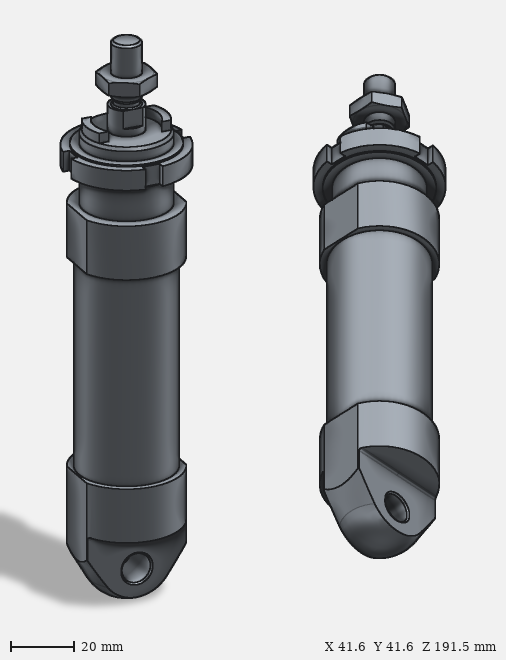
import cadquery as cq
import math


TOTAL_LENGTH = 191.5
ROD_DIAMETER = 12.0
THREAD_DIAMETER = 10.0
THREAD_BOTTOM_Z = 172.2
THREAD_TIP_CHAMFER = 0.8
RELIEF_DIAMETER = 8.6
RELIEF_UPPER_TAPER_HEIGHT = 1.0
RELIEF_LOWER_TAPER_HEIGHT = 0.4
ROD_SHOULDER_Z = 169.5
WRENCH_FLAT_WIDTH = 10.0
WRENCH_FLAT_BOTTOM_Z = 163.3

HEX_NUT_ACROSS_FLATS = 17.0
HEX_NUT_HEIGHT = 5.0
HEX_NUT_BOTTOM_Z = 175.5
HEX_NUT_BEVEL_ANGLE = 15.0

TUBE_DIAMETER = 33.5
CAP_DIAMETER = 38.0
CAP_ACROSS_FLATS = 34.9
CAP_LENGTH = 18.5
LOWER_CAP_BOTTOM_Z = 26.0
UPPER_CAP_BOTTOM_Z = 116.8
UPPER_CAP_TOP_Z = UPPER_CAP_BOTTOM_Z + CAP_LENGTH
BOSS_DIAMETER = 30.0
BOSS_TOP_DIAMETER = 28.3
BOSS_TOP_Z = 160.7
BOSS_CHAMFER_HEIGHT = 1.1

TAB_INNER_DIAMETER = 22.6
TAB_WIDTH = 13.0
TAB_HEIGHT = 3.5

EYE_THICKNESS = 15.7
EYE_TIP_RADIUS = 15.0
EYE_CONE_HALF_ANGLE = 30.0
EYE_FILLET = 1.0
EYE_HOLE_DIAMETER = 10.0
EYE_HOLE_CHAMFER = 0.5
EYE_HOLE_Z = 12.0

RING_NUT_DIAMETER = 42.0
RING_NUT_FACE_DIAMETER = 36.0
RING_NUT_HEIGHT = 8.0
RING_NUT_BOTTOM_Z = 148.0
RING_NUT_STEP_HEIGHT = 0.5
RING_NUT_SLOT_WIDTH = 6.0
RING_NUT_SLOT_FLOOR_RADIUS = 18.5
RING_NUT_SLOT_COUNT = 4


def cylinder(diameter, bottom_z, top_z):
    """Solid cylinder on the Z axis between two heights."""
    return cq.Workplane("XY").workplane(offset=bottom_z).circle(diameter / 2).extrude(top_z - bottom_z)


def slab(size_x, size_y, bottom_z, top_z):
    """Box centred on the Z axis between two heights."""
    return cq.Workplane("XY").workplane(offset=bottom_z).rect(size_x, size_y).extrude(top_z - bottom_z)


def revolved(outline):
    """Turn a closed outline of the XZ plane about the Z axis."""
    return outline.close().revolve(360, (0, 0, 0), (0, 1, 0))


def make_cap(bottom_z):
    """Round end cap with two flats facing -Y and +Y."""
    top_z = bottom_z + CAP_LENGTH
    return cylinder(CAP_DIAMETER, bottom_z, top_z).intersect(
        slab(CAP_DIAMETER, CAP_ACROSS_FLATS, bottom_z, top_z)
    )


def make_boss():
    """Boss with a chamfered top edge, above the upper cap."""
    return revolved(
        cq.Workplane("XZ")
        .moveTo(0, UPPER_CAP_TOP_Z)
        .lineTo(BOSS_DIAMETER / 2, UPPER_CAP_TOP_Z)
        .lineTo(BOSS_DIAMETER / 2, BOSS_TOP_Z - BOSS_CHAMFER_HEIGHT)
        .lineTo(BOSS_TOP_DIAMETER / 2, BOSS_TOP_Z)
        .lineTo(0, BOSS_TOP_Z)
    )


def make_tabs():
    """Two opposite arc-shaped tabs at -Y and +Y."""
    top_z = BOSS_TOP_Z + TAB_HEIGHT
    ring = cylinder(BOSS_TOP_DIAMETER, BOSS_TOP_Z, top_z).cut(
        cylinder(TAB_INNER_DIAMETER, BOSS_TOP_Z, top_z)
    )
    return ring.intersect(slab(TAB_WIDTH, BOSS_DIAMETER, BOSS_TOP_Z, top_z))


def make_eye():
    """Flat eye whose end is rounded by a sphere that runs into a cone."""
    angle = math.radians(EYE_CONE_HALF_ANGLE)
    tangent_radius = EYE_TIP_RADIUS * math.cos(angle)
    tangent_z = EYE_TIP_RADIUS * (1 - math.sin(angle))
    middle_angle = (math.pi / 2 + angle) / 2
    arc_middle = (
        EYE_TIP_RADIUS * math.cos(middle_angle),
        EYE_TIP_RADIUS * (1 - math.sin(middle_angle)),
    )
    cone_end_radius = CAP_DIAMETER / 2
    cone_end_z = tangent_z + (cone_end_radius - tangent_radius) / math.tan(angle)
    tip = revolved(
        cq.Workplane("XZ")
        .moveTo(0, 0)
        .threePointArc(arc_middle, (tangent_radius, tangent_z))
        .lineTo(cone_end_radius, cone_end_z)
        .lineTo(cone_end_radius, LOWER_CAP_BOTTOM_Z)
        .lineTo(0, LOWER_CAP_BOTTOM_Z)
    )
    return tip.intersect(slab(EYE_THICKNESS, CAP_ACROSS_FLATS, 0, LOWER_CAP_BOTTOM_Z))


def make_eye_fillets():
    """Concave fillets between the eye faces and the underside of the lower cap."""
    face_x = EYE_THICKNESS / 2
    bottom_z = LOWER_CAP_BOTTOM_Z - EYE_FILLET
    fillet_bar = slab(2 * (face_x + EYE_FILLET), CAP_ACROSS_FLATS, bottom_z, LOWER_CAP_BOTTOM_Z)
    for side in (-1, 1):
        groove = (
            cq.Workplane("XZ")
            .center(side * (face_x + EYE_FILLET), bottom_z)
            .circle(EYE_FILLET)
            .extrude(CAP_DIAMETER / 2, both=True)
        )
        fillet_bar = fillet_bar.cut(groove)
    return fillet_bar.intersect(cylinder(CAP_DIAMETER, bottom_z, LOWER_CAP_BOTTOM_Z))


def make_eye_hole():
    """Cross hole along X, chamfered at both faces of the eye."""
    face_x = EYE_THICKNESS / 2
    hole_radius = EYE_HOLE_DIAMETER / 2
    mouth_radius = hole_radius + EYE_HOLE_CHAMFER
    profile = (
        cq.Workplane("XZ")
        .polyline([
            (-face_x, EYE_HOLE_Z),
            (-face_x, EYE_HOLE_Z + mouth_radius),
            (-face_x + EYE_HOLE_CHAMFER, EYE_HOLE_Z + hole_radius),
            (face_x - EYE_HOLE_CHAMFER, EYE_HOLE_Z + hole_radius),
            (face_x, EYE_HOLE_Z + mouth_radius),
            (face_x, EYE_HOLE_Z),
        ])
        .close()
    )
    return profile.revolve(360, (0, EYE_HOLE_Z, 0), (1, EYE_HOLE_Z, 0))


def make_housing():
    """Tube with end caps, boss, tabs and eye, bored for the rod down to the upper cap."""
    tube = cylinder(TUBE_DIAMETER, LOWER_CAP_BOTTOM_Z + CAP_LENGTH, UPPER_CAP_BOTTOM_Z)
    return (
        tube.union(make_cap(LOWER_CAP_BOTTOM_Z))
        .union(make_cap(UPPER_CAP_BOTTOM_Z))
        .union(make_boss())
        .union(make_tabs())
        .union(make_eye())
        .union(make_eye_fillets())
        .cut(make_eye_hole())
        .cut(cylinder(ROD_DIAMETER, UPPER_CAP_BOTTOM_Z, BOSS_TOP_Z))
    )


def make_rod():
    """Rod with a plain thread end, a tapered relief groove below it and two wrench flats facing -X and +X."""
    rod_radius = ROD_DIAMETER / 2
    thread_radius = THREAD_DIAMETER / 2
    relief_radius = RELIEF_DIAMETER / 2
    rod = revolved(
        cq.Workplane("XZ")
        .moveTo(0, UPPER_CAP_BOTTOM_Z)
        .lineTo(rod_radius, UPPER_CAP_BOTTOM_Z)
        .lineTo(rod_radius, ROD_SHOULDER_Z)
        .lineTo(thread_radius, ROD_SHOULDER_Z)
        .lineTo(relief_radius, ROD_SHOULDER_Z + RELIEF_LOWER_TAPER_HEIGHT)
        .lineTo(relief_radius, THREAD_BOTTOM_Z - RELIEF_UPPER_TAPER_HEIGHT)
        .lineTo(thread_radius, THREAD_BOTTOM_Z)
        .lineTo(thread_radius, TOTAL_LENGTH - THREAD_TIP_CHAMFER)
        .lineTo(thread_radius - THREAD_TIP_CHAMFER, TOTAL_LENGTH)
        .lineTo(0, TOTAL_LENGTH)
    )
    flat_band = slab(ROD_DIAMETER, ROD_DIAMETER, WRENCH_FLAT_BOTTOM_Z, ROD_SHOULDER_Z)
    kept_core = slab(WRENCH_FLAT_WIDTH, ROD_DIAMETER, WRENCH_FLAT_BOTTOM_Z, ROD_SHOULDER_Z)
    return rod.cut(flat_band.cut(kept_core))


def make_hex_nut():
    """Hexagon nut with corners at -X and +X, bevelled at both ends."""
    corner_radius = HEX_NUT_ACROSS_FLATS / math.sqrt(3)
    face_radius = HEX_NUT_ACROSS_FLATS / 2
    bevel_height = (corner_radius - face_radius) * math.tan(math.radians(HEX_NUT_BEVEL_ANGLE))
    top_z = HEX_NUT_BOTTOM_Z + HEX_NUT_HEIGHT
    hexagon = (
        cq.Workplane("XY")
        .workplane(offset=HEX_NUT_BOTTOM_Z)
        .polygon(6, 2 * corner_radius)
        .extrude(HEX_NUT_HEIGHT)
    )
    bevel_limit = revolved(
        cq.Workplane("XZ")
        .moveTo(0, HEX_NUT_BOTTOM_Z)
        .lineTo(face_radius, HEX_NUT_BOTTOM_Z)
        .lineTo(corner_radius, HEX_NUT_BOTTOM_Z + bevel_height)
        .lineTo(corner_radius, top_z - bevel_height)
        .lineTo(face_radius, top_z)
        .lineTo(0, top_z)
    )
    return hexagon.intersect(bevel_limit).cut(cylinder(THREAD_DIAMETER, HEX_NUT_BOTTOM_Z, top_z))


def make_ring_nut():
    """Round nut with a raised face at both ends and evenly spaced slots in its rim."""
    outer_radius = RING_NUT_DIAMETER / 2
    face_radius = RING_NUT_FACE_DIAMETER / 2
    bore_radius = BOSS_DIAMETER / 2
    top_z = RING_NUT_BOTTOM_Z + RING_NUT_HEIGHT
    nut = revolved(
        cq.Workplane("XZ")
        .moveTo(bore_radius, RING_NUT_BOTTOM_Z)
        .lineTo(face_radius, RING_NUT_BOTTOM_Z)
        .lineTo(face_radius, RING_NUT_BOTTOM_Z + RING_NUT_STEP_HEIGHT)
        .lineTo(outer_radius, RING_NUT_BOTTOM_Z + RING_NUT_STEP_HEIGHT)
        .lineTo(outer_radius, top_z - RING_NUT_STEP_HEIGHT)
        .lineTo(face_radius, top_z - RING_NUT_STEP_HEIGHT)
        .lineTo(face_radius, top_z)
        .lineTo(bore_radius, top_z)
    )
    slot = slab(outer_radius, RING_NUT_SLOT_WIDTH, RING_NUT_BOTTOM_Z, top_z).translate(
        (RING_NUT_SLOT_FLOOR_RADIUS + outer_radius / 2, 0, 0)
    )
    for index in range(RING_NUT_SLOT_COUNT):
        angle = index * 360 / RING_NUT_SLOT_COUNT
        nut = nut.cut(slot.rotate((0, 0, 0), (0, 0, 1), angle))
    return nut


housing = make_housing()
rod = make_rod()
hex_nut = make_hex_nut()
ring_nut = make_ring_nut()

result = cq.Compound.makeCompound([housing.val(), rod.val(), hex_nut.val(), ring_nut.val()])